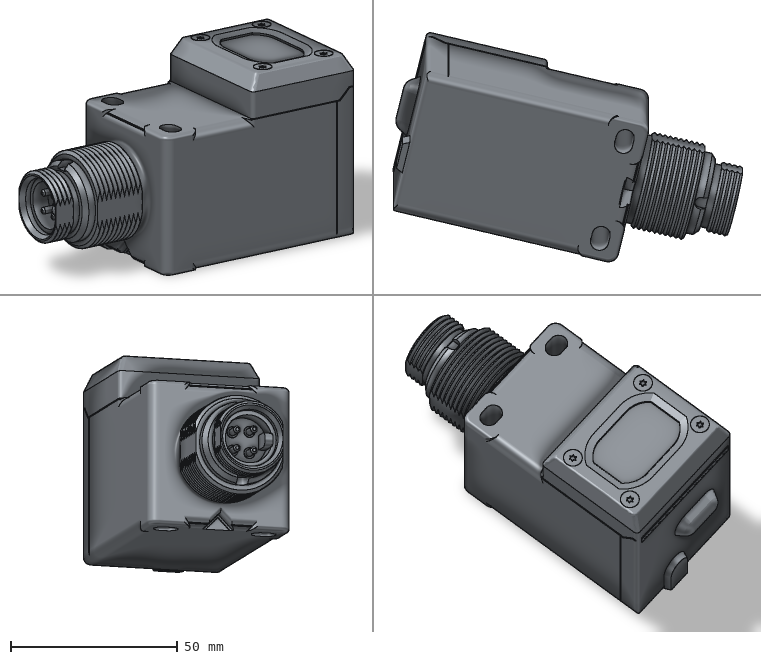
import cadquery as cq
import math

width = 44.6
total_height = 58.1
housing_height = 44.4
housing_depth = 69.2
connector_length = 31.5
total_length = 104.8
half_width = width / 2

front_corner_radius = 3.1
small_radius = 1.4
grip_radius = 3.1
grip_end_slope = 2.5
front_grip_length = 23.2
side_grip_start = 9.9
side_grip_end = 32.6

grip_line_rise = 2.0
grip_line_size = 0.3

vee_apex_height = 6.5
vee_rim_radius = 1.3
vee_depth = 3.1
vee_core_height = 3.8
vee_core_depth = 3.5

slot_length = 7.4
slot_width = 5.5
slot_offset_x = 15.4
slot_y = 6.5

head_front = 31.7
head_shoulder_height = 52.8
head_side_taper = 2.1
head_end_taper = 2.9
head_corner_radius = 1.4
head_top_radius = 1.2
head_depth = housing_depth - head_front
head_center_y = (housing_depth + head_front) / 2

window_round_offset = 6.3
window_radius = 11.5
window_half_length = 15.9
window_bevel_width = 2.4
window_bevel_depth = 0.8
window_depth = 1.5

screw_offset_x = 16.6
screw_offset_y = 11.1
screw_radius = 2.8
screw_sink = 0.1
socket_radius = 1.2
socket_depth = 0.5

seam_width = 0.2
seam_depth = 0.2
cover_seam_y = 62.5
cover_top = 47.9
cover_ramp_y = 67.1
cover_lip_thickness = 0.3
cover_lip_width = 40.9
cover_lip_height = 2.3

lens_height = 28.1
lens_left = -9.3
lens_right = 0.0
lens_base_radius = 4.6
lens_mid_radius = 3.1
lens_mid_reach = 2.5
lens_reach = total_length - connector_length - housing_depth
button_x = 4.8
button_height = 8.3
button_radius = 4.8
button_reach = 2.0
button_taper_angle = 25

axis_height = 22.1
neck_radius = 13.6
neck_length = 2.5
neck_foot_radius = 1.5
mount_thread_radius = 15.1
mount_root_radius = 14.0
mount_thread_count = 10
mount_flat = 13.7
mount_thread_end = 18.9
collar_radius = 12.6
collar_end = 22.8
collar_chamfer = 1.5
relief_radius = 9.8
relief_end = 25.0
plug_thread_radius = 11.1
plug_root_radius = 10.3
plug_thread_count = 4
plug_flat = 9.9
notch_width = 3.6
notch_floor_radius = 10.3
notch_straight = 1.9

mouth_radius = 9.8
mouth_chamfer = 1.0
mouth_chamfer_depth = 1.7
shoulder_depth = 3.4
bore_radius = 7.3
bore_depth = 8.9
pin_radius = 1.0
pin_length = 4.9
pin_tip_chamfer = 0.5
pin_seat_radius = 1.7
pin_seat_depth = 0.3
pin_positions = [(-3.4, 2.8), (-3.4, -2.8), (2.0, 3.3), (2.0, -3.3)]
key_width = 4.4
key_reach = 4.8
key_length = 6.8


def box(x0, x1, y0, y1, z0, z1):
    return cq.Workplane("XY").box(x1 - x0, y1 - y0, z1 - z0, centered=False).translate((x0, y0, z0))


def turned(outline):
    """Turn an outline of (radius, reach out of the front face) points about the connector axis."""
    points = [(radius, -reach) for radius, reach in outline]
    solid = cq.Workplane("XY").polyline(points).close().revolve(360, (0, 0, 0), (0, 1, 0))
    return solid.translate((0, 0, axis_height))


def grip_cutter(length):
    """Rounds a stretch of a top edge running along X, with curved ends; the sharp edge is at y = 0, z = 0."""
    half = length / 2
    bulge_x = grip_end_slope * math.sin(math.pi / 4)
    bulge_y = grip_radius * (1 - math.sin(math.pi / 4))
    block = (
        cq.Workplane("XY")
        .moveTo(-half, 0)
        .lineTo(half, 0)
        .threePointArc((half - bulge_x, bulge_y), (half - grip_end_slope, grip_radius))
        .lineTo(grip_end_slope - half, grip_radius)
        .threePointArc((bulge_x - half, bulge_y), (-half, 0))
        .close()
        .extrude(-grip_radius)
    )
    round_edge = (
        cq.Workplane("YZ").center(grip_radius, -grip_radius).circle(grip_radius).extrude(half, both=True)
    )
    return block.cut(round_edge)


def side_grip(y_start, y_end):
    """Grip cutter for both long top edges of the housing."""
    left = grip_cutter(y_end - y_start).rotate((0, 0, 0), (0, 0, 1), -90)
    left = left.translate((-half_width, (y_start + y_end) / 2, housing_height))
    return left.union(left.mirror("YZ"))


def to_underside(cutter):
    return cutter.mirror("XY").translate((0, 0, housing_height))


def make_front_grip():
    """Grip cutter for the upper front edge, with a fine line cut along its round."""
    line_half = front_grip_length / 2 - grip_end_slope * grip_line_rise / grip_radius
    line_z = housing_height - grip_radius + grip_line_rise
    line_bottom = line_z - grip_line_size / 2
    line_y = grip_radius - math.sqrt(grip_radius**2 - grip_line_rise**2)
    line_back = line_y + grip_line_size
    line = box(-line_half, line_half, 0, line_back, line_bottom, line_bottom + grip_line_size)
    return grip_cutter(front_grip_length).translate((0, 0, housing_height)).union(line)


def make_housing():
    open_part = box(-half_width, half_width, 0, head_front, 0, housing_height)
    open_part = open_part.edges("|Z and <Y").fillet(front_corner_radius)
    open_part = open_part.faces(">Z or <Z").edges("not >Y").fillet(small_radius)
    covered_part = box(-half_width, half_width, head_front, housing_depth, 0, housing_height)
    covered_part = covered_part.edges("|Z and >Y").fillet(small_radius)
    covered_part = covered_part.faces("<Z").edges("not <Y").fillet(small_radius)
    body = open_part.union(covered_part)

    front_grip = make_front_grip()
    body = body.cut(front_grip).cut(to_underside(front_grip))
    body = body.cut(side_grip(side_grip_start, side_grip_end))
    body = body.cut(to_underside(side_grip(side_grip_start, housing_depth + grip_end_slope)))
    return body.cut(make_vee_recess())


def make_vee_recess():
    """Triangular recess in the lower front edge; the rims of both legs are rounded."""

    def triangle(apex_height, depth):
        return (
            cq.Workplane("XZ")
            .polyline([(-apex_height, 0), (0, apex_height), (apex_height, 0)])
            .close()
            .extrude(-depth)
        )

    rim = triangle(vee_apex_height, vee_rim_radius)
    leg_length = 2 * vee_apex_height
    for side in (-1, 1):
        foot = cq.Vector(side * leg_length, vee_rim_radius, vee_apex_height - leg_length)
        leg = cq.Solid.makeCylinder(vee_rim_radius, 2 * leg_length, foot, cq.Vector(-side, 0, 1))
        rim = rim.cut(cq.Workplane(leg))
    recess = rim.union(triangle(vee_apex_height - vee_rim_radius * math.sqrt(2), vee_depth))
    return recess.union(triangle(vee_core_height, vee_core_depth))


def make_head():
    def outline(height, side_inset, end_inset):
        return (
            cq.Sketch()
            .rect(width - 2 * side_inset, head_depth - 2 * end_inset)
            .vertices()
            .fillet(head_corner_radius)
            .moved(cq.Location(cq.Vector(0, head_center_y, height)))
        )

    base = outline(housing_height, 0, 0)
    shoulder = outline(head_shoulder_height, 0, 0)
    top = outline(total_height, head_side_taper, head_end_taper)
    block = cq.Workplane("XY").placeSketch(base, shoulder).loft(ruled=True)
    crown = cq.Workplane("XY").placeSketch(shoulder, top).loft(ruled=True)
    crown = crown.faces(">Z").edges().fillet(head_top_radius)
    return block.union(crown)


def window_outline(depth, inset):
    """Two round ends clipped by straight sides, on a level below the top of the head."""
    radius = window_radius - inset
    plane = cq.Workplane("XY", origin=(0, head_center_y, total_height - depth))
    half_length = window_half_length - inset
    arc_height = math.sqrt(radius**2 - (half_length - window_round_offset) ** 2)
    middle_angle = math.asin(arc_height / radius) / 2 + math.pi / 4
    middle_x = window_round_offset + radius * math.cos(middle_angle)
    middle_y = radius * math.sin(middle_angle)
    return (
        plane.moveTo(-window_round_offset, radius)
        .lineTo(window_round_offset, radius)
        .threePointArc((middle_x, middle_y), (half_length, arc_height))
        .lineTo(half_length, -arc_height)
        .threePointArc((middle_x, -middle_y), (window_round_offset, -radius))
        .lineTo(-window_round_offset, -radius)
        .threePointArc((-middle_x, -middle_y), (-half_length, -arc_height))
        .lineTo(-half_length, arc_height)
        .threePointArc((-middle_x, middle_y), (-window_round_offset, radius))
        .close()
    )


def make_window():
    rim = window_outline(0, 0).wire().val()
    sill = window_outline(window_bevel_depth, window_bevel_width).wire().val()
    bevel = cq.Workplane(cq.Solid.makeLoft([rim, sill], True))
    return bevel.union(window_outline(window_depth, window_bevel_width).extrude(window_depth))


def make_screw_recesses():
    """Shallow round seats with a six-pointed socket made of two triangles."""
    centers = [(x, y) for x in (-screw_offset_x, screw_offset_x) for y in (-screw_offset_y, screw_offset_y)]
    top = cq.Workplane("XY", origin=(0, head_center_y, total_height))
    recesses = top.pushPoints(centers).circle(screw_radius).extrude(-screw_sink)
    for turn in (90, -90):
        plane = top.transformed(rotate=(0, 0, turn))
        turned_centers = [(y, -x) for x, y in centers]
        points = plane.pushPoints(turned_centers).polygon(3, 2 * socket_radius)
        recesses = recesses.union(points.extrude(-screw_sink - socket_depth))
    return recesses


def make_seam():
    """Thin groove on both sides: up along the rear cover, then along the underside of the head."""
    ramp_start = cover_seam_y + seam_width
    ramp_rise = cover_top - housing_height
    path = [
        (cover_ramp_y - ramp_rise, housing_height),
        (cover_ramp_y, cover_top),
        (housing_depth, cover_top),
        (housing_depth, cover_top - seam_width),
        (cover_ramp_y + seam_width / 2, cover_top - seam_width),
        (cover_ramp_y - ramp_rise + seam_width / 2, housing_height - seam_width),
        (ramp_start, housing_height - seam_width),
        (ramp_start, 0),
        (cover_seam_y, 0),
        (cover_seam_y, housing_height - seam_width),
        (head_front, housing_height - seam_width),
        (head_front, housing_height),
    ]
    wall = cq.Workplane("YZ").polyline(path).close().extrude(seam_depth)
    left = wall.translate((-half_width, 0, 0))
    return left.union(left.mirror("YZ"))


def make_cover_lip():
    return box(
        -cover_lip_width / 2,
        cover_lip_width / 2,
        housing_depth,
        housing_depth + cover_lip_thickness,
        cover_top - cover_lip_height,
        cover_top,
    )


def make_lens():
    """Domed bar: a half profile turned at both ends and carried straight between them."""
    dome_rise = lens_reach - lens_mid_reach
    dome_radius = (lens_mid_radius**2 + dome_rise**2) / (2 * dome_rise)
    dome_middle = math.asin(lens_mid_radius / dome_radius) / 2
    dome_x = dome_radius * math.sin(dome_middle)
    dome_y = lens_reach - dome_radius * (1 - math.cos(dome_middle))

    def half_profile(side):
        return (
            cq.Workplane("XY")
            .lineTo(side * lens_base_radius, 0)
            .lineTo(side * lens_mid_radius, lens_mid_reach)
            .threePointArc((side * dome_x, dome_y), (0, lens_reach))
            .close()
        )

    end = half_profile(1).revolve(360, (0, 0, 0), (0, 1, 0))
    bar_half = half_profile(1).extrude(lens_right - lens_left)
    bar = bar_half.union(half_profile(-1).extrude(lens_right - lens_left)).rotate((0, 0, 0), (0, 1, 0), 90)
    lens = bar.translate((lens_left, 0, 0))
    lens = lens.union(end.translate((lens_left, 0, 0))).union(end.translate((lens_right, 0, 0)))
    return lens.translate((0, housing_depth, lens_height))


def make_button():
    flank_drop = button_height + button_radius
    button = (
        cq.Workplane("XZ", origin=(button_x, housing_depth, button_height))
        .moveTo(button_radius, 0)
        .threePointArc((0, button_radius), (-button_radius, 0))
        .lineTo(-button_radius, -flank_drop)
        .lineTo(button_radius, -flank_drop)
        .close()
        .extrude(-button_reach, taper=button_taper_angle)
    )
    return button.intersect(box(-half_width, half_width, 0, total_length, 0, housing_height))


def threaded_sleeve(start, end, crest_radius, root_radius, crest_count, flat):
    """Ring-shaped thread crests with two flats facing +X and -X."""
    pitch = (end - start) / crest_count
    outline = [(0, start)]
    for turn in range(crest_count):
        outline.append((root_radius, start + turn * pitch))
        outline.append((crest_radius, start + (turn + 0.5) * pitch))
    outline += [(root_radius, end), (0, end)]
    limits = box(-flat, flat, -end, -start, 0, housing_height)
    return turned(outline).intersect(limits)


def make_collar():
    collar = turned([
        (0, mount_thread_end),
        (collar_radius, mount_thread_end),
        (collar_radius, collar_end - collar_chamfer),
        (collar_radius - collar_chamfer, collar_end),
        (0, collar_end),
    ])
    round_y = -collar_end + notch_straight
    for direction in (1, -1):
        notch = (
            cq.Workplane("XY", origin=(0, round_y, axis_height + direction * notch_floor_radius))
            .moveTo(-notch_width / 2, -notch_straight)
            .lineTo(-notch_width / 2, 0)
            .threePointArc((0, notch_width / 2), (notch_width / 2, 0))
            .lineTo(notch_width / 2, -notch_straight)
            .close()
            .extrude(direction * collar_radius)
        )
        collar = collar.cut(notch)
    return collar


def make_plug_socket():
    """Hollow of the plug, leaving the key and the pins standing."""
    floor = connector_length - bore_depth
    shoulder = connector_length - shoulder_depth
    shoulder_radius = mouth_radius - mouth_chamfer
    hollow = turned([
        (0, connector_length),
        (mouth_radius, connector_length),
        (shoulder_radius, connector_length - mouth_chamfer_depth),
        (shoulder_radius, shoulder),
        (bore_radius, shoulder),
        (bore_radius, floor),
        (0, floor),
    ])
    floor_plane = cq.Workplane("XZ", origin=(0, -floor, axis_height))
    seats = floor_plane.pushPoints(pin_positions).circle(pin_seat_radius).extrude(-pin_seat_depth)
    pins = (
        floor_plane.workplane(offset=-pin_seat_depth)
        .pushPoints(pin_positions)
        .circle(pin_radius)
        .extrude(pin_length + pin_seat_depth)
        .faces("<Y")
        .chamfer(pin_tip_chamfer)
    )
    key_half = key_width / 2
    round_start = -floor - key_length + key_half
    key = (
        cq.Workplane("YZ", origin=(key_reach, 0, axis_height))
        .moveTo(-floor, -key_half)
        .lineTo(round_start, -key_half)
        .threePointArc((round_start - key_half, 0), (round_start, key_half))
        .lineTo(-floor, key_half)
        .close()
        .extrude(bore_radius - key_reach)
    )
    return hollow.union(seats).cut(pins).cut(key)


def make_connector():
    foot_sag = neck_foot_radius * (1 - math.sin(math.pi / 4))
    neck = (
        cq.Workplane("XY")
        .lineTo(neck_radius + neck_foot_radius, 0)
        .threePointArc((neck_radius + foot_sag, -foot_sag), (neck_radius, -neck_foot_radius))
        .lineTo(neck_radius, -neck_length)
        .lineTo(0, -neck_length)
        .close()
        .revolve(360, (0, 0, 0), (0, 1, 0))
        .translate((0, 0, axis_height))
    )
    relief = turned([
        (0, collar_end),
        (relief_radius, collar_end),
        (relief_radius, relief_end),
        (0, relief_end),
    ])
    mount_thread = threaded_sleeve(
        neck_length, mount_thread_end, mount_thread_radius, mount_root_radius, mount_thread_count, mount_flat
    )
    plug_thread = threaded_sleeve(
        relief_end, connector_length, plug_thread_radius, plug_root_radius, plug_thread_count, plug_flat
    )
    connector = neck.union(mount_thread).union(make_collar()).union(relief).union(plug_thread)
    return connector.cut(make_plug_socket())


def make_mounting_slots():
    return (
        cq.Workplane("XY")
        .pushPoints([(-slot_offset_x, slot_y), (slot_offset_x, slot_y)])
        .slot2D(slot_length, slot_width)
        .extrude(housing_height)
    )


result = make_housing().union(make_head())
result = result.cut(make_window()).cut(make_screw_recesses()).cut(make_seam()).cut(make_mounting_slots())
result = result.union(make_cover_lip()).union(make_lens()).union(make_button()).union(make_connector())